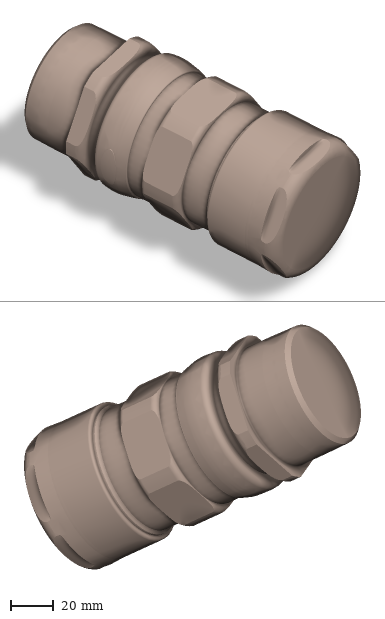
import cadquery as cq
import math


ACROSS_FLATS = 65.0
CORNER_D = 70.8

ENTRY_TIP_D = 55.8
LEAD_IN_LENGTH = 2.1
THREAD_START_D = 59.8
THREAD_D = 60.3
THREAD_TAPER_END_X = 14.8
ENTRY_HEX_X = 29.5
ENTRY_HEX_WIDTH = 8.9
ENTRY_HEX_ROUNDING = 3.8
THREAD_ROOT_FILLET = 0.8
NECK_D = 56.4
NECK_FILLET = 1.7

RING_X = 44.3
RING_END_X = 62.7
RING_SHOULDER_D = 69.3
RING_FRONT_ROUNDING = 3.0
RING_REAR_D = 66.0
RING_REAR_ROUNDING = 0.6
CROWN_REPEAT_X = 55.8

PAD_X = 53.6
PAD_LENGTH = 8.1
PAD_HEIGHT = 22.3
PAD_RAISE = 0.3

BARREL_D = 63.9
MIDDLE_HEX_X = 72.3
MIDDLE_HEX_WIDTH = 21.5
MIDDLE_HEX_ROUNDING = 2.9
TUBE_D = 62.1
FLANGE_D = 65.0
FLANGE_RIM_WIDTH = 1.2

SLEEVE_X = 110.5
SLEEVE_FRONT_ROUNDING = 1.2
CAP_D = 69.6
BACK_NUT_X = 132.8
FLARE_X = 134.4
BACK_NUT_END_X = 150.7
BACK_NUT_ROUNDING = 6.2
WRENCH_FLATS_X = 142.1
WRENCH_FLATS_FILLET = 0.9

HEX_CIRCUMDIAMETER = ACROSS_FLATS / math.cos(math.pi / 6)
MID_ARC = math.sqrt(0.5)
CUT_MARGIN = 1.5
CUT_D = 90.4


def revolve(profile):
    """Turn a closed (x, radius) profile around the X axis."""
    return profile.revolve(360, (0, 0, 0), (1, 0, 0))


def cylinder(x, length, diameter):
    return cq.Workplane("YZ", origin=(x, 0, 0)).circle(diameter / 2).extrude(length)


def hex_prism(x, length):
    """Hexagonal prism along X, with corners on the Y axis and flats facing +Z and -Z."""
    return cq.Workplane("YZ", origin=(x, 0, 0)).polygon(6, HEX_CIRCUMDIAMETER).extrude(length)


def hexagon_nut(x, width, rounding, rounded_ends):
    """Hexagon whose corners are turned to a cylinder with rounded rims."""
    envelope = cylinder(x, width, CORNER_D).faces(rounded_ends).edges().fillet(rounding)
    return envelope.intersect(hex_prism(x, width))


def make_entry_body():
    hex_end_x = ENTRY_HEX_X + ENTRY_HEX_WIDTH
    thread_r = THREAD_D / 2
    neck_r = NECK_D / 2
    root_x = ENTRY_HEX_X - THREAD_ROOT_FILLET
    root_r = thread_r + THREAD_ROOT_FILLET
    neck_x = hex_end_x + NECK_FILLET
    neck_top_r = neck_r + NECK_FILLET
    core = revolve(
        cq.Workplane("XY")
        .moveTo(0, 0)
        .lineTo(0, ENTRY_TIP_D / 2)
        .lineTo(LEAD_IN_LENGTH, THREAD_START_D / 2)
        .lineTo(THREAD_TAPER_END_X, thread_r)
        .lineTo(root_x, thread_r)
        .threePointArc(
            (root_x + THREAD_ROOT_FILLET * MID_ARC, root_r - THREAD_ROOT_FILLET * MID_ARC),
            (ENTRY_HEX_X, root_r),
        )
        .lineTo(hex_end_x, root_r)
        .lineTo(hex_end_x, neck_top_r)
        .threePointArc(
            (neck_x - NECK_FILLET * MID_ARC, neck_top_r - NECK_FILLET * MID_ARC),
            (neck_x, neck_r),
        )
        .lineTo(RING_END_X, neck_r)
        .lineTo(RING_END_X, 0)
        .close()
    )
    return core.union(hexagon_nut(ENTRY_HEX_X, ENTRY_HEX_WIDTH, ENTRY_HEX_ROUNDING, ">X"))


def crowned_sleeve(raise_by):
    """Sleeve over the neck with a crowned outside, enlarged radially by raise_by."""
    shoulder_x = RING_X + RING_FRONT_ROUNDING
    shoulder_r = RING_SHOULDER_D / 2 + raise_by
    front_r = shoulder_r - RING_FRONT_ROUNDING
    crown_end_x = RING_END_X - RING_REAR_ROUNDING
    rear_r = RING_REAR_D / 2 + raise_by
    return revolve(
        cq.Workplane("XY")
        .moveTo(RING_X, NECK_D / 2)
        .lineTo(RING_X, front_r)
        .threePointArc(
            (shoulder_x - RING_FRONT_ROUNDING * MID_ARC, front_r + RING_FRONT_ROUNDING * MID_ARC),
            (shoulder_x, shoulder_r),
        )
        .threePointArc((CROWN_REPEAT_X, shoulder_r), (crown_end_x, rear_r))
        .threePointArc(
            (crown_end_x + RING_REAR_ROUNDING * MID_ARC, rear_r - RING_REAR_ROUNDING * (1 - MID_ARC)),
            (RING_END_X, rear_r - RING_REAR_ROUNDING),
        )
        .lineTo(RING_END_X, NECK_D / 2)
        .close()
    )


def make_seal_ring():
    oval = (
        cq.Workplane("XZ", origin=(PAD_X, -NECK_D / 2, 0))
        .ellipse(PAD_LENGTH / 2, PAD_HEIGHT / 2)
        .extrude(CORNER_D / 2)
    )
    pad = crowned_sleeve(PAD_RAISE).intersect(oval)
    return crowned_sleeve(0).union(pad)


def make_middle_body():
    flange_r = FLANGE_D / 2
    tube_r = TUBE_D / 2
    rim_x = SLEEVE_X - FLANGE_RIM_WIDTH
    chamfer = flange_r - tube_r
    barrel = cylinder(RING_END_X, MIDDLE_HEX_X - RING_END_X, BARREL_D)
    nut = hexagon_nut(MIDDLE_HEX_X, MIDDLE_HEX_WIDTH, MIDDLE_HEX_ROUNDING, "<X or >X")
    hex_end_x = MIDDLE_HEX_X + MIDDLE_HEX_WIDTH
    flanged_tube = revolve(
        cq.Workplane("XY")
        .moveTo(hex_end_x, 0)
        .lineTo(hex_end_x, tube_r)
        .lineTo(rim_x - chamfer, tube_r)
        .lineTo(rim_x, flange_r)
        .lineTo(SLEEVE_X, flange_r)
        .lineTo(SLEEVE_X, 0)
        .close()
    )
    return barrel.union(nut).union(flanged_tube)


def wrench_flat_cutter():
    """Everything outside a hexagon, from the start of the flats to past the back nut."""
    length = BACK_NUT_END_X - WRENCH_FLATS_X + CUT_MARGIN
    hexagon = hex_prism(WRENCH_FLATS_X, length)
    cutter = cylinder(WRENCH_FLATS_X, length, CUT_D).cut(hexagon)
    inner_front_edges = cutter.faces("<X").edges("not %CIRCLE")
    return cutter.newObject(inner_front_edges.vals()).fillet(WRENCH_FLATS_FILLET)


def make_cap_sleeve():
    length = BACK_NUT_X - SLEEVE_X
    return cylinder(SLEEVE_X, length, CAP_D).faces("<X").edges().fillet(SLEEVE_FRONT_ROUNDING)


def make_back_nut():
    round_x = BACK_NUT_END_X - BACK_NUT_ROUNDING
    end_r = CORNER_D / 2 - BACK_NUT_ROUNDING
    blank = revolve(
        cq.Workplane("XY")
        .moveTo(BACK_NUT_X, 0)
        .lineTo(BACK_NUT_X, CAP_D / 2)
        .lineTo(FLARE_X, CAP_D / 2)
        .lineTo(round_x, CORNER_D / 2)
        .threePointArc(
            (round_x + BACK_NUT_ROUNDING * MID_ARC, end_r + BACK_NUT_ROUNDING * MID_ARC),
            (BACK_NUT_END_X, end_r),
        )
        .lineTo(BACK_NUT_END_X, 0)
        .close()
    )
    return blank.cut(wrench_flat_cutter())


entry_body = make_entry_body()
seal_ring = make_seal_ring()
middle_body = make_middle_body()
cap_sleeve = make_cap_sleeve()
back_nut = make_back_nut()

result = cq.Compound.makeCompound(
    [
        entry_body.val(),
        seal_ring.val(),
        middle_body.val(),
        cap_sleeve.val(),
        back_nut.val(),
    ]
)